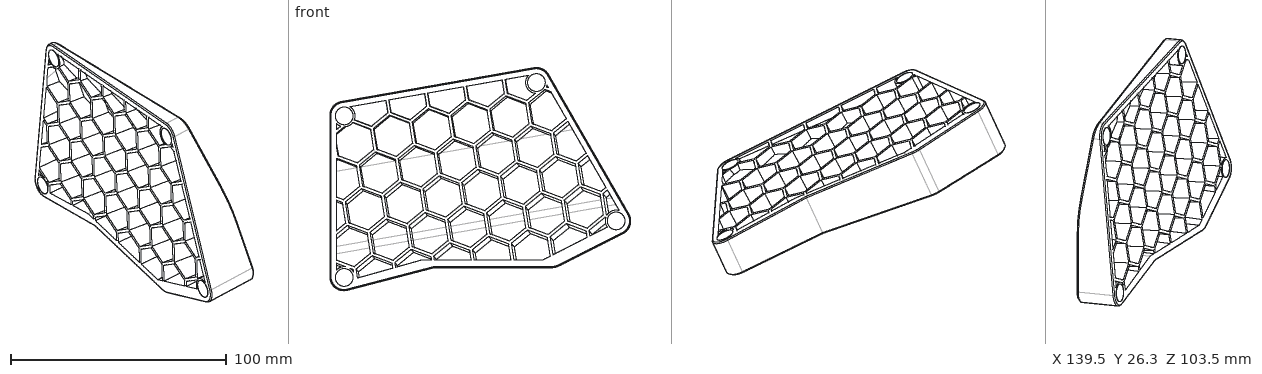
import cadquery as cq
import math

TOP_SLOPE = math.radians(10.0)
UPPER_LEFT = (0, 86.9)
UPPER_RIGHT = (99.1, 104.3)
LOWER_RIGHT = (142.1, 29.7)
LOWER_KNEE = (104.6, 10.7)
LOWER_NOTCH = (48.2, 10.7)
LOWER_LEFT = (0, -1.8)
OUTLINE = [UPPER_LEFT, UPPER_RIGHT, LOWER_RIGHT, LOWER_KNEE, LOWER_NOTCH, LOWER_LEFT]
ROUND_CORNERS = [UPPER_LEFT, UPPER_RIGHT, LOWER_RIGHT, LOWER_LEFT]
CORNER_RADIUS = 6.5
KNEE_RADIUS = 8.4

FRONT_DEPTH = 19.2
GROWTH_X = math.tan(math.radians(4.0))
LOSS_Z = math.tan(math.radians(5.0))
FRONT_NORMAL = (-GROWTH_X, -1, LOSS_Z)
FRONT_CHAMFER = 0.5

STATION_ZERO = (6.5, 81.3)
BACK_SLOPE = math.radians(11.0)
BACK_RADIUS = 100.4
BACK_BEND_END = 47.1
BACK_CHAMFER = 1.0

FLOOR_THICKNESS = 3.6
FLOOR_ARC_START = 24.8
FLOOR_ARC_END = 59.1
FLOOR_RAMP_END = 62.5
FLOOR_RAMP_SLOPE = math.radians(3.0)

RIM = 3.0
LOWER_RIM = [(0, 2.4), (42.5, 14.4), (98.7, 14.4), (153.4, 42.3)]

CELL_PITCH = 18.3
RIB = 1.4
ROW_SLOPE = math.radians(9.1)
FIRST_CELL = (29.3, 72.0)
CELL_RINGS = 7
HALF_CORNER = math.radians(30)

PAD_CENTRES = [(6.7, 81.2), (95.8, 96.6), (132.7, 32.5), (6.7, 6.3)]
PAD_DIAMETER = 8.2
PAD_RECESS = 0.1
PAD_BOSS_DIAMETER = 10.0

REACH = 209.2
THICK = 55.8


def front_plane(x, z, angle):
    """Plane on the front face, facing out, with its x direction at this angle in XZ."""
    run, rise = math.cos(angle), math.sin(angle)
    return cq.Plane(
        origin=(x, LOSS_Z * z - GROWTH_X * x - FRONT_DEPTH, z),
        xDir=(run, LOSS_Z * rise - GROWTH_X * run, rise),
        normal=FRONT_NORMAL,
    )


def outline_sketch(points):
    return cq.Workplane("XZ").polyline(points).close()


def corner_edge(corner):
    """Selector for the wall edge running along Y at an outline corner."""
    return cq.selectors.NearestToPointSelector((corner[0], -THICK / 2, corner[1]))


def station_sketch():
    """Sketch plane square to the upper edge: x is the station, y is the part's Y."""
    run, rise = math.cos(TOP_SLOPE), math.sin(TOP_SLOPE)
    return cq.Workplane(cq.Plane(
        origin=(STATION_ZERO[0], 0, STATION_ZERO[1]),
        xDir=(rise, 0, -run),
        normal=(run, 0, rise),
    ))


def in_front_of_bend(flat, radius, arc_end, start_angle):
    """Space in front of a surface made of flat points, an arc and a slope.

    The arc turns from start_angle to the back slope, tangent to the slope.
    """
    def on_arc(angle):
        station = arc_end[0] - radius * (math.sin(angle) - math.sin(start_angle))
        y = arc_end[1] - radius * (math.cos(start_angle) - math.cos(angle))
        return station, y

    bend = on_arc(BACK_SLOPE)
    slope_top = (-THICK, bend[1] - (bend[0] + THICK) * math.tan(BACK_SLOPE))
    return (
        station_sketch()
        .polyline(flat + [arc_end])
        .threePointArc(on_arc((start_angle + BACK_SLOPE) / 2), bend)
        .lineTo(*slope_top)
        .lineTo(-THICK, -THICK)
        .lineTo(REACH, -THICK)
        .close()
        .extrude(REACH, both=True)
    )


def make_body():
    block = outline_sketch(OUTLINE).extrude(THICK)
    block = block.edges(corner_edge(LOWER_KNEE)).fillet(KNEE_RADIUS)
    for corner in ROUND_CORNERS:
        block = block.edges(corner_edge(corner)).fillet(CORNER_RADIUS)
    block = block.intersect(in_front_of_bend([(REACH, 0)], BACK_RADIUS, (BACK_BEND_END, 0), 0))

    seam = f"({math.cos(TOP_SLOPE)}, 0, {math.sin(TOP_SLOPE)})"
    block = block.faces(">Y").edges(f"not |{seam}").chamfer(BACK_CHAMFER)

    waste = cq.Workplane(front_plane(0, 0, 0)).rect(2 * REACH, 2 * REACH).extrude(THICK)
    block = block.cut(waste)
    front = cq.selectors.DirectionMinMaxSelector(cq.Vector(*FRONT_NORMAL), True)
    return block.faces(front).chamfer(FRONT_CHAMFER)


def make_cavity():
    inside = outline_sketch(OUTLINE).offset2D(-RIM).extrude(THICK)
    upper_limit = [(REACH, REACH), (0, REACH)]
    inside = inside.intersect(outline_sketch(LOWER_RIM + upper_limit).extrude(THICK))

    arc_turn = math.sin(BACK_SLOPE) + math.sin(FLOOR_RAMP_SLOPE)
    floor_radius = (FLOOR_ARC_END - FLOOR_ARC_START) / arc_turn
    ramp_top = (FLOOR_RAMP_END - FLOOR_ARC_END) * math.tan(FLOOR_RAMP_SLOPE) - FLOOR_THICKNESS
    flat = [(REACH, -FLOOR_THICKNESS), (FLOOR_RAMP_END, -FLOOR_THICKNESS)]
    inside = inside.intersect(
        in_front_of_bend(flat, floor_radius, (FLOOR_ARC_END, ramp_top), -FLOOR_RAMP_SLOPE)
    )
    bosses = cq.Workplane("XZ").pushPoints(PAD_CENTRES).circle(PAD_BOSS_DIAMETER / 2).extrude(THICK)
    return inside.cut(bosses)


def make_cells():
    """Hexagonal prisms, a rib apart, that leave the honeycomb between them."""
    row_pitch = CELL_PITCH * math.cos(HALF_CORNER)
    centres = []
    for row in range(-CELL_RINGS, CELL_RINGS + 1):
        for column in range(-CELL_RINGS, CELL_RINGS + 1):
            along = (column + (row % 2) / 2) * CELL_PITCH
            centres.append((row * row_pitch, along))
    across_corners = (CELL_PITCH - RIB) / math.cos(HALF_CORNER)
    plane = front_plane(*FIRST_CELL, ROW_SLOPE + math.radians(90))
    cells = cq.Workplane(plane).pushPoints(centres).polygon(6, across_corners)
    return cells.extrude(-THICK)


def make_pad_recesses():
    pads = cq.Workplane("XZ").pushPoints(PAD_CENTRES).circle(PAD_DIAMETER / 2).extrude(THICK)
    skin = cq.Workplane(front_plane(0, 0, 0)).rect(2 * REACH, 2 * REACH).extrude(-PAD_RECESS)
    return pads.intersect(skin)


pockets = make_cavity().intersect(make_cells())
result = make_body().cut(pockets).cut(make_pad_recesses())